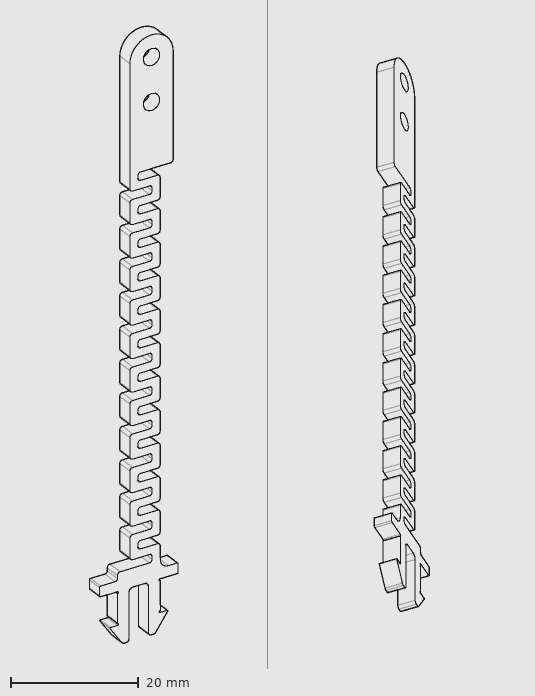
import cadquery as cq

thickness = 3.0

barb_height = 3.5
shank_height = 6.0
flange_height = 1.9
block_height = 1.5
spring_height = 70.4
tab_height = 23.9

flange_bottom = barb_height + shank_height
block_bottom = flange_bottom + flange_height
spring_bottom = block_bottom + block_height
tab_bottom = spring_bottom + spring_height
tab_top = tab_bottom + tab_height

flange_width = 14.6
foot_width = 7.9
foot_gap = 3.6
barb_reach = 1.5
barb_tip_inset = 1.0
tab_width = 8.0
tab_center = 2.4
tab_arc_height = 4.0

spring_left = foot_width / 2
spring_right = tab_center - tab_width / 2
tab_left = tab_center + tab_width / 2

slot_count = 24
slot_height = spring_height / (2 * slot_count - 1)
spring_wall = slot_height

hole_diameter = 3.0
hole_spacing = 8.0

spring_radius = 0.5
block_corner_radius = 0.5
block_root_radius = 0.4
spring_root_radius = 1.5
flange_corner_radius = 0.2
foot_gap_radius = 0.8
prong_end_radius = 0.4
barb_point_radius = 0.1
relief_radius = 0.16

selection_margin = 0.05


def slab(y_min, y_max, z_min, z_max):
    """Full-thickness rectangle between the given Y and Z limits."""
    return (
        cq.Workplane("YZ")
        .center((y_min + y_max) / 2, (z_min + z_max) / 2)
        .rect(y_max - y_min, z_max - z_min)
        .extrude(thickness / 2, both=True)
    )


def fillet_corners(body, y_min, y_max, z_min, z_max, radius):
    """Round the edges along X that lie inside the given Y and Z limits."""
    region = cq.selectors.BoxSelector(
        (-thickness, y_min - selection_margin, z_min - selection_margin),
        (thickness, y_max + selection_margin, z_max + selection_margin),
    )
    return body.edges("|X").edges(region).fillet(radius)


def make_tab():
    """Tab with a rounded top end and two holes on its centre line."""
    arc_base = tab_top - tab_arc_height
    hole_points = [(tab_center, arc_base), (tab_center, arc_base - hole_spacing)]
    tab = (
        cq.Workplane("YZ")
        .moveTo(spring_right, tab_bottom)
        .lineTo(tab_left, tab_bottom)
        .lineTo(tab_left, arc_base)
        .threePointArc((tab_center, tab_top), (spring_right, arc_base))
        .close()
        .extrude(thickness / 2, both=True)
    )
    holes = (
        cq.Workplane("YZ")
        .pushPoints(hole_points)
        .circle(hole_diameter / 2)
        .extrude(thickness, both=True)
    )
    return tab.cut(holes)


def make_spring():
    """Meander made by cutting alternating slots into a straight bar."""
    spring = slab(spring_right, spring_left, spring_bottom, tab_bottom)
    for index in range(slot_count):
        slot_bottom = spring_bottom + 2 * index * slot_height
        if index % 2 == 0:
            y_min, y_max = spring_right, spring_left - spring_wall
        else:
            y_min, y_max = spring_right + spring_wall, spring_left
        spring = spring.cut(slab(y_min, y_max, slot_bottom, slot_bottom + slot_height))
    return spring


def make_prong():
    """Barbed +Y prong, its outer face undercut beside the flange and the barb."""
    inner = foot_gap / 2
    outer = foot_width / 2
    prong = (
        cq.Workplane("YZ")
        .moveTo(inner, flange_bottom)
        .lineTo(inner, 0)
        .lineTo(outer - barb_tip_inset, 0)
        .lineTo(outer + barb_reach, barb_height)
        .lineTo(outer, barb_height)
        .lineTo(outer, flange_bottom)
        .close()
        .extrude(thickness / 2, both=True)
    )
    prong = fillet_corners(prong, inner, outer - barb_tip_inset, 0, 0, prong_end_radius)
    barb_point = outer + barb_reach
    prong = fillet_corners(prong, barb_point, barb_point, barb_height, barb_height, barb_point_radius)
    relief_points = [(outer, flange_bottom - relief_radius), (outer, barb_height + relief_radius)]
    reliefs = (
        cq.Workplane("YZ")
        .pushPoints(relief_points)
        .circle(relief_radius)
        .extrude(thickness, both=True)
    )
    return prong.cut(reliefs)


def make_foot():
    """Flange with the block above it and the two mirrored prongs below."""
    prong = make_prong()
    flange = slab(-flange_width / 2, flange_width / 2, flange_bottom, block_bottom)
    block = slab(-foot_width / 2, foot_width / 2, block_bottom, spring_bottom)
    foot = flange.union(block).union(prong).union(prong.mirror("XZ"))
    foot = fillet_corners(
        foot, -foot_gap / 2, foot_gap / 2, flange_bottom, flange_bottom, foot_gap_radius
    )
    block_side = -foot_width / 2
    foot = fillet_corners(
        foot, block_side, block_side, spring_bottom, spring_bottom, block_corner_radius
    )
    foot = fillet_corners(
        foot, block_side, block_side, block_bottom, block_bottom, block_root_radius
    )
    for flange_end in (-flange_width / 2, flange_width / 2):
        foot = fillet_corners(
            foot, flange_end, flange_end, flange_bottom, block_bottom, flange_corner_radius
        )
    return foot


result = make_foot().union(make_spring()).union(make_tab()).clean()

result = fillet_corners(result, spring_right, tab_left, spring_bottom, tab_bottom, spring_radius)
result = fillet_corners(
    result, spring_left, spring_left, block_bottom, block_bottom, spring_root_radius
)